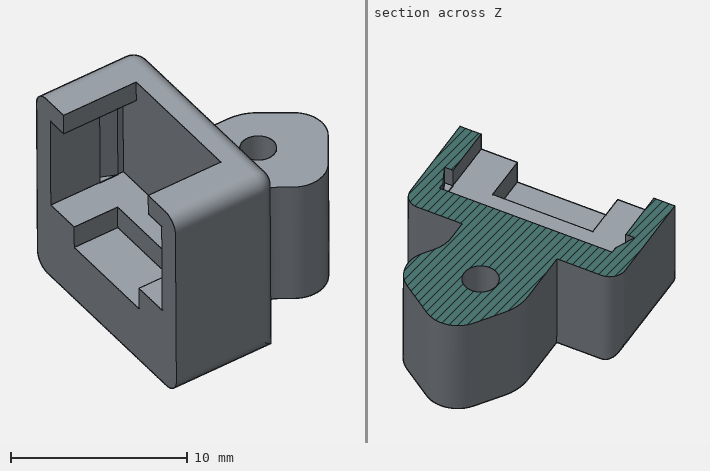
import cadquery as cq
import math

body_width = 13.82
body_depth = 7.0
body_height = 13.09
edge_radius = 1.0

pocket_width = 11.08
pocket_depth = 5.0
pocket_drop = 7.7
pocket_floor = body_height - pocket_drop
lip_height = 1.39
lip_opening = 8.42

recess_width = 6.44
recess_depth = 3.0
recess_drop = 1.54

catch_start = 0.38
catch_length = 1.23
catch_depth = 0.55
catch_drop = 0.05

lug_length = 7.7
lug_height = 8.39
lug_half_width = 3.06
lug_slant = math.radians(35)
lug_hole_diameter = 2.1
lug_hole_y = 3.47
corner_radius = 2.0
corner_spacing = 2.44
left_bend_radius = 3.06
left_bend_y = lug_hole_y
neck_radius = 4.5 / 2

lean_angle = 0.33


def block(width, y_min, y_max, z_min, z_max):
    """Box centred on X between the given Y and Z limits."""
    box = cq.Workplane("XY").box(width, y_max - y_min, z_max - z_min, centered=(True, False, False))
    return box.translate((0, y_min, z_min))


def make_body():
    """Rounded block; its lower back edge stays sharp, so the rounds mitre at the lower corners."""
    blank = block(body_width, -body_depth, 0, 0, body_height)
    long_round = blank.edges("|Y").fillet(edge_radius)
    back_round = blank.edges("(|Z and >Y) or (|X and >Y and >Z) or (|Y and >Z)").fillet(edge_radius)
    return long_round.intersect(back_round)


def make_catch():
    """Wedge cut in the +X pocket wall, deepening towards the front."""
    wall_x = pocket_width / 2
    start_y = pocket_depth - body_depth - catch_start
    end_y = start_y - catch_length
    floor_z = pocket_floor - catch_drop
    wedge = (
        cq.Workplane("XY")
        .workplane(offset=floor_z)
        .polyline([(wall_x, start_y), (wall_x + catch_depth, end_y), (wall_x, end_y)])
        .close()
    )
    return wedge.extrude(body_height - lip_height - floor_z)


def make_cavity():
    """Everything removed from the body: pocket, top opening, floor recess and catches."""
    front = -body_depth
    pocket_back = front + pocket_depth
    pocket = block(pocket_width, front, pocket_back, pocket_floor, body_height - lip_height)
    opening = block(lip_opening, front, pocket_back, pocket_floor, body_height)
    recess = block(recess_width, front, front + recess_depth, pocket_floor - recess_drop, pocket_floor)
    catch = make_catch()
    return pocket.union(opening).union(recess).union(catch).union(catch.mirror("YZ"))


def on_arc(center, radius, angle):
    """Point of a circle at the given angle."""
    return (center[0] + radius * math.cos(angle), center[1] + radius * math.sin(angle))


def make_lug():
    """Plate of tangent arcs and lines; its three slanted sides are parallel or square to each other."""
    slant_cos = math.cos(lug_slant)
    slant_sin = math.sin(lug_slant)

    left_bend = (left_bend_radius - lug_half_width, left_bend_y)
    top_y = lug_length - corner_radius
    top_rise = slant_sin * (top_y - left_bend_y)
    top_x = left_bend[0] + (top_rise + corner_radius - left_bend_radius) / slant_cos
    top = (top_x, top_y)
    side = (top_x + corner_spacing * slant_cos, top_y - corner_spacing * slant_sin)
    neck_x = lug_half_width + neck_radius
    neck_run = slant_cos * (neck_x - side[0])
    neck_y = side[1] + (neck_run - corner_radius - neck_radius) / slant_sin
    neck = (neck_x, neck_y)

    left_normal = math.pi - lug_slant
    upper_normal = math.pi / 2 - lug_slant
    lower_normal = -lug_slant

    outline = (
        cq.Workplane("XY")
        .moveTo(-lug_half_width, -edge_radius)
        .lineTo(-lug_half_width, left_bend_y)
        .threePointArc(
            on_arc(left_bend, left_bend_radius, math.pi - lug_slant / 2),
            on_arc(left_bend, left_bend_radius, left_normal),
        )
        .lineTo(*on_arc(top, corner_radius, left_normal))
        .threePointArc(
            on_arc(top, corner_radius, (left_normal + upper_normal) / 2),
            on_arc(top, corner_radius, upper_normal),
        )
        .lineTo(*on_arc(side, corner_radius, upper_normal))
        .threePointArc(
            on_arc(side, corner_radius, (upper_normal + lower_normal) / 2),
            on_arc(side, corner_radius, lower_normal),
        )
        .lineTo(*on_arc(neck, neck_radius, left_normal))
        .threePointArc(
            on_arc(neck, neck_radius, math.pi - lug_slant / 2),
            on_arc(neck, neck_radius, math.pi),
        )
        .lineTo(lug_half_width, -edge_radius)
        .close()
    )
    hole = cq.Workplane("XY").center(0, lug_hole_y).circle(lug_hole_diameter / 2).extrude(lug_height)
    return outline.extrude(lug_height).cut(hole)


upright = make_body().union(make_lug()).cut(make_cavity())
result = upright.rotate((0, 0, 0), (1, 0, 0), lean_angle)